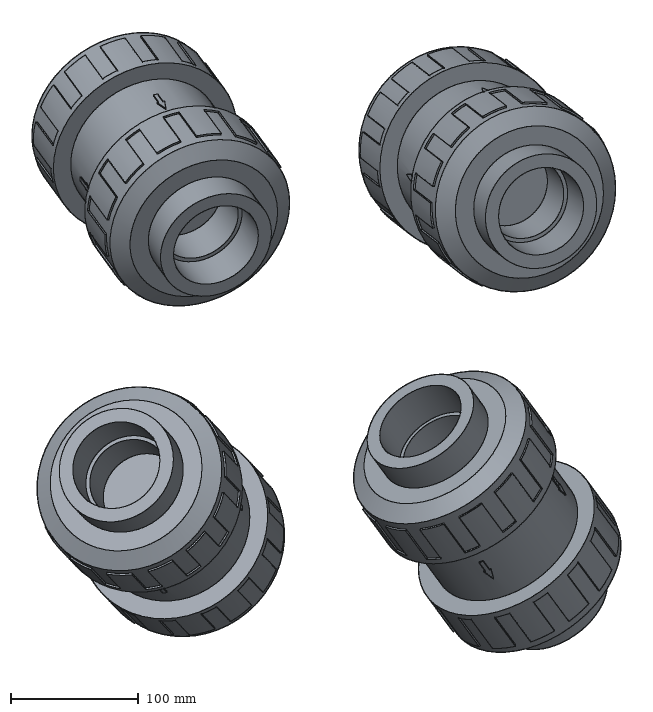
import cadquery as cq
import math

length = 231.0
pipe_radius = 47.0
body_radius = 62.8

socket_radius = 35.8
socket_depth = 34.2
bore_radius = 32.5
bore_depth = 69.3

nut_diameter = 155.0
nut_radius = nut_diameter / 2
core_radius = 76.0
nut_tip_radius = 62.4
nut_length = 57.3
cone_length = 8.3
plain_length = 7.0
inner_band = 5.5
nut_spacing = 65.8
nut_shift = -0.2
slot_count = 14
slot_angle = 10.0

arrow_height = 1.0
arrow_tail_x = -11.0
arrow_neck_x = 0.0
arrow_tip_x = 10.9
arrow_shaft_half_width = 1.8
arrow_head_half_width = 3.2
arrow_count = 4


def cylinder(radius, start_x, end_x):
    """Cylinder on the X axis between two positions."""
    return cq.Workplane("YZ", origin=(start_x, 0, 0)).circle(radius).extrude(end_x - start_x)


def slot_wedge(start, end):
    """Sector tool for one grip slot, with one side wall in the XZ plane."""
    reach = 2 * nut_radius
    angle = math.radians(slot_angle)
    return (
        cq.Workplane("YZ", origin=(start, 0, 0))
        .polyline([
            (0, 0),
            (0, reach),
            (-reach * math.sin(angle), reach * math.cos(angle)),
        ])
        .close()
        .extrude(end - start)
    )


def union_nut():
    """Solid nut with its inner face at X = 0 and its cone toward +X."""
    cone_start = nut_length - cone_length
    slot_end = cone_start - plain_length
    core = (
        cq.Workplane("XY")
        .polyline([
            (0, 0),
            (0, core_radius),
            (cone_start, core_radius),
            (nut_length, nut_tip_radius),
            (nut_length, 0),
        ])
        .close()
        .revolve(360, (0, 0, 0), (1, 0, 0))
    )
    collar = cylinder(nut_radius, 0, slot_end).cut(cylinder(core_radius, 0, slot_end))
    wedge = slot_wedge(inner_band, slot_end)
    for index in range(slot_count):
        collar = collar.cut(wedge.rotate((0, 0, 0), (1, 0, 0), index * 360 / slot_count))
    return core.union(collar)


def flow_arrow():
    """Arrow toward +X, curved to the body, on the +Z side."""
    outline = (
        cq.Workplane("XY")
        .polyline([
            (arrow_tail_x, -arrow_shaft_half_width),
            (arrow_neck_x, -arrow_shaft_half_width),
            (arrow_neck_x, -arrow_head_half_width),
            (arrow_tip_x, 0),
            (arrow_neck_x, arrow_head_half_width),
            (arrow_neck_x, arrow_shaft_half_width),
            (arrow_tail_x, arrow_shaft_half_width),
        ])
        .close()
        .extrude(nut_radius)
    )
    return outline.intersect(cylinder(body_radius + arrow_height, arrow_tail_x, arrow_tip_x))


pipe_end = length / 2
nut_face = nut_spacing / 2

result = cylinder(pipe_radius, -pipe_end, pipe_end)
result = result.union(cylinder(body_radius, nut_shift - nut_face, nut_shift + nut_face))

nut = union_nut().translate((nut_face, 0, 0))
for turn in (0, 180):
    turned_nut = nut.rotate((0, 0, 0), (0, 0, 1), turn)
    result = result.union(turned_nut.translate((nut_shift, 0, 0)))

for index in range(arrow_count):
    result = result.union(flow_arrow().rotate((0, 0, 0), (1, 0, 0), index * 360 / arrow_count))

for side in (-1, 1):
    result = result.cut(cylinder(socket_radius, side * pipe_end, side * (pipe_end - socket_depth)))
    result = result.cut(cylinder(bore_radius, side * pipe_end, side * (pipe_end - bore_depth)))